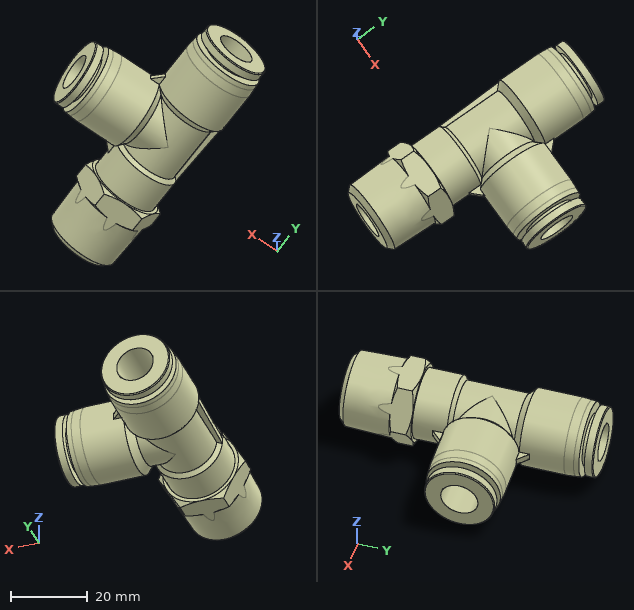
import cadquery as cq
import math


port_reach = 30.1
flange_bottom = 27.75
flange_radius = 9.5
flange_chamfer = 0.3
neck_bottom = 26.45
neck_radius = 7.05
cap_top_radius = 10.1
cap_bottom = 25.05
cap_bottom_radius = 10.2
taper_bottom = 22.5
body_radius = 10.4
body_bottom = body_radius
waist_radius = 8.4
shoulder_bottom = waist_radius

collar_radius = 9.5
collar_cone_top = -8.4
collar_top = collar_cone_top - (collar_radius - waist_radius)
hex_top = -18.9
hex_bottom = -24.85
hex_flats = 21.0
hex_corner_radius = hex_flats / math.sqrt(3)
hex_chamfer_angle = 30
run_end = -38.95
end_chamfer = 1.45
thread_chamfer_start = run_end + end_chamfer
thread_large_radius = 10.6
thread_radial_taper = 1 / 32
thread_small_radius = thread_large_radius - thread_radial_taper * (hex_bottom - thread_chamfer_start)
bore_radius = 5.05

rib_thickness = 1.85
back_rib_top_reach = 10.2
upper_gusset_leg = 23.6
lower_gusset_leg = 22.85


def revolve_about_y(profile):
    """Turn an ordered list of (radius, y) points into a solid about the Y axis."""
    points = [(0, profile[0][1])] + profile + [(0, profile[-1][1])]
    return cq.Workplane("XY").polyline(points).close().revolve(360, (0, 0), (0, 1))


def make_port():
    """Port body with its release collar, running up from the crossing."""
    return revolve_about_y([
        (waist_radius, 0),
        (waist_radius, shoulder_bottom),
        (body_radius, body_bottom),
        (body_radius, taper_bottom),
        (cap_bottom_radius, cap_bottom),
        (cap_top_radius, neck_bottom),
        (neck_radius, neck_bottom),
        (neck_radius, flange_bottom),
        (flange_radius, flange_bottom),
        (flange_radius, port_reach - flange_chamfer),
        (flange_radius - flange_chamfer, port_reach),
    ])


def make_collar():
    """Waist below the crossing, widening into the collar above the hexagon."""
    return revolve_about_y([
        (waist_radius, 0),
        (waist_radius, collar_cone_top),
        (collar_radius, collar_top),
        (collar_radius, hex_top),
    ])


def make_hex_and_thread():
    """Chamfered hexagon and thread cone, both trimmed by the six wrench flats."""
    chamfer_radius = hex_flats / 2
    chamfer_drop = (hex_corner_radius - chamfer_radius) * math.tan(math.radians(hex_chamfer_angle))
    turned = revolve_about_y([
        (chamfer_radius, hex_top),
        (hex_corner_radius, hex_top - chamfer_drop),
        (hex_corner_radius, hex_bottom + chamfer_drop),
        (thread_large_radius, hex_bottom),
        (thread_small_radius, thread_chamfer_start),
        (thread_small_radius - end_chamfer, run_end),
    ])
    flats = (
        cq.Workplane("XZ", origin=(0, hex_top, 0))
        .polygon(6, 2 * hex_corner_radius)
        .extrude(hex_top - run_end)
    )
    return turned.intersect(flats)


def make_rib(points):
    """Flat web centred on the XY plane."""
    return cq.Workplane("XY").polyline(points).close().extrude(rib_thickness / 2, both=True)


def make_bore(length):
    """Round passage along Y from the crossing, downwards for a negative length."""
    return cq.Workplane("XZ").circle(bore_radius).extrude(-length)


def turn_to_branch(solid):
    """Swing a solid from +Y onto the +X branch axis."""
    return solid.rotate((0, 0, 0), (0, 0, 1), -90)


back_rib = make_rib([
    (0, body_bottom),
    (-back_rib_top_reach, body_bottom),
    (-collar_radius, collar_top),
    (0, collar_top),
])
upper_gusset = make_rib([
    (0, 0),
    (upper_gusset_leg - waist_radius, waist_radius),
    (waist_radius, upper_gusset_leg - waist_radius),
])
lower_gusset = make_rib([
    (0, 0),
    (lower_gusset_leg - waist_radius, -waist_radius),
    (waist_radius, waist_radius - lower_gusset_leg),
])

result = make_port().union(turn_to_branch(make_port()))
for piece in (make_collar(), make_hex_and_thread(), back_rib, upper_gusset, lower_gusset):
    result = result.union(piece)

run_bore = make_bore(port_reach).union(make_bore(run_end))
branch_bore = turn_to_branch(make_bore(port_reach))
result = result.cut(run_bore).cut(branch_bore)